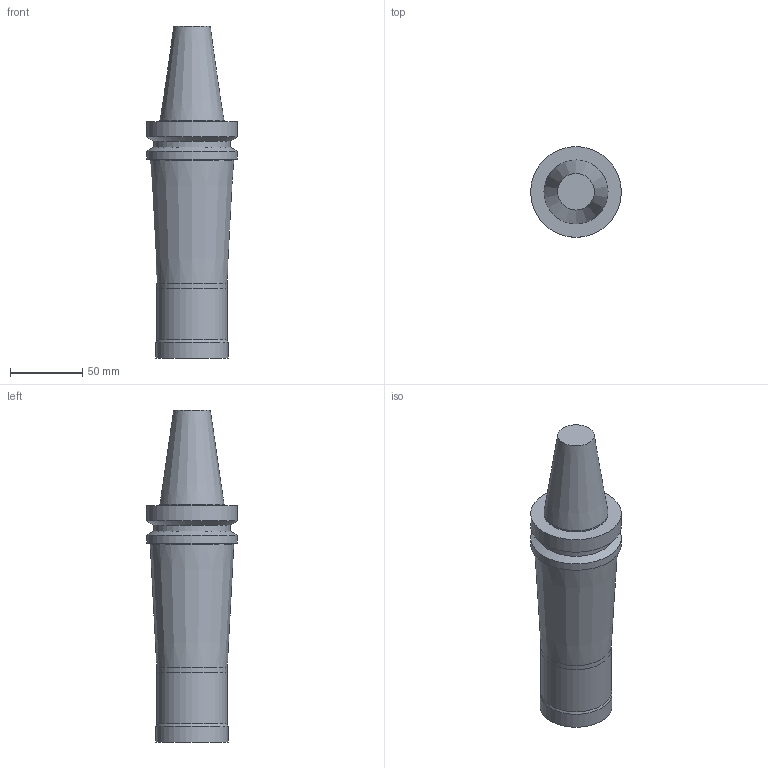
import cadquery as cq
import math

GAUGE_DIAMETER = 44.45
TAPER_LENGTH = 65.4
TAPER_RATIO = 7 / 24
SMALL_END_DIAMETER = GAUGE_DIAMETER - TAPER_LENGTH * TAPER_RATIO

FLANGE_DIAMETER = 63.0
FLANGE_TOP = 1.0
FLANGE_BOTTOM = 27.0
GROOVE_DIAMETER = 53.0
GROOVE_CENTRE = 16.6
GROOVE_MOUTH_WIDTH = 10.0
GROOVE_FLANK_ANGLE = 30.0
GROOVE_DEPTH = (FLANGE_DIAMETER - GROOVE_DIAMETER) / 2
GROOVE_FLANK_WIDTH = GROOVE_DEPTH * math.tan(math.radians(GROOVE_FLANK_ANGLE))
GROOVE_FLOOR_WIDTH = GROOVE_MOUTH_WIDTH - 2 * GROOVE_FLANK_WIDTH

BODY_DIAMETER = 58.0
NECK_END = 28.0

NOSE_DIAMETER = 48.8
TRANSITION_TOP = 113.0
TRANSITION_BOTTOM = 116.5
TRANSITION_SLOPE = 1.0
TRANSITION_FLARE = (TRANSITION_BOTTOM - TRANSITION_TOP) * math.tan(math.radians(TRANSITION_SLOPE))
TRANSITION_TOP_DIAMETER = NOSE_DIAMETER + 2 * TRANSITION_FLARE

COLLAR_DIAMETER = 50.0
COLLAR_LENGTH = 11.0
SHOULDER_ANGLE = 20.0
TOOL_LENGTH = 165.0
COLLAR_TOP = TOOL_LENGTH - COLLAR_LENGTH
SHOULDER_LENGTH = (COLLAR_DIAMETER - NOSE_DIAMETER) / 2 / math.tan(math.radians(SHOULDER_ANGLE))
NOSE_END = COLLAR_TOP - SHOULDER_LENGTH


def rim(diameter, depth):
    """Profile point at a given diameter and depth below the gauge line."""
    return (diameter / 2, -depth)


def half_profile():
    """Closed half section from the axis outwards, running from top to bottom."""
    half_floor = GROOVE_FLOOR_WIDTH / 2
    half_mouth = GROOVE_MOUTH_WIDTH / 2
    profile = cq.Workplane("YZ").moveTo(0, TAPER_LENGTH)

    profile = profile.lineTo(SMALL_END_DIAMETER / 2, TAPER_LENGTH)
    profile = profile.lineTo(*rim(GAUGE_DIAMETER, 0))
    profile = profile.lineTo(*rim(GAUGE_DIAMETER, FLANGE_TOP))

    profile = profile.lineTo(*rim(FLANGE_DIAMETER, FLANGE_TOP))
    profile = profile.lineTo(*rim(FLANGE_DIAMETER, GROOVE_CENTRE - half_mouth))
    profile = profile.lineTo(*rim(GROOVE_DIAMETER, GROOVE_CENTRE - half_floor))
    profile = profile.lineTo(*rim(GROOVE_DIAMETER, GROOVE_CENTRE + half_floor))
    profile = profile.lineTo(*rim(FLANGE_DIAMETER, GROOVE_CENTRE + half_mouth))
    profile = profile.lineTo(*rim(FLANGE_DIAMETER, FLANGE_BOTTOM))

    profile = profile.lineTo(*rim(BODY_DIAMETER, FLANGE_BOTTOM))
    profile = profile.lineTo(*rim(BODY_DIAMETER, NECK_END))
    profile = profile.lineTo(*rim(TRANSITION_TOP_DIAMETER, TRANSITION_TOP))
    profile = profile.lineTo(*rim(NOSE_DIAMETER, TRANSITION_BOTTOM))

    profile = profile.lineTo(*rim(NOSE_DIAMETER, NOSE_END))
    profile = profile.lineTo(*rim(COLLAR_DIAMETER, COLLAR_TOP))
    profile = profile.lineTo(*rim(COLLAR_DIAMETER, TOOL_LENGTH))
    profile = profile.lineTo(*rim(0, TOOL_LENGTH))
    return profile.close()


result = half_profile().revolve(360, (0, 0), (0, 1))